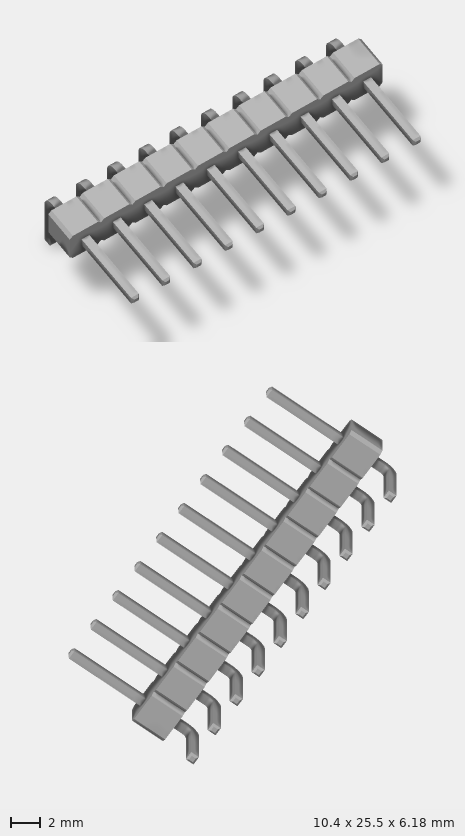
import cadquery as cq


pin_count = 10
pitch = 2.55
strip_width = 2.55
strip_height = 2.55
strip_chamfer = 0.25

pin_size = 0.64
bend_inner_radius = 0.33
bend_outer_radius = bend_inner_radius + pin_size
tip_chamfer = 0.15

mating_length = 6.0
bend_overhang = 1.83
tail_drop = 4.9

pin_left = -strip_width / 2 - bend_overhang
pin_right = strip_width / 2 + mating_length
pin_top = pin_size / 2
pin_bottom = -pin_size / 2


def position_y(index):
    """Y of a pin, with the row centred on the origin."""
    return (index - (pin_count - 1) / 2) * pitch


def make_strip_segment(y):
    """One position of the strip, chamfered along its four X edges."""
    return (
        cq.Workplane("XY")
        .box(strip_width, pitch, strip_height)
        .edges("|X")
        .chamfer(strip_chamfer)
        .translate((0, y, 0))
    )


def make_pin(y):
    """L-shaped square pin with a rounded bend and a tapered tip at each end."""
    pin = (
        cq.Workplane("XZ")
        .moveTo(pin_left, -tail_drop)
        .lineTo(pin_left, pin_top)
        .lineTo(pin_right, pin_top)
        .lineTo(pin_right, pin_bottom)
        .lineTo(pin_left + pin_size, pin_bottom)
        .lineTo(pin_left + pin_size, -tail_drop)
        .close()
        .extrude(pin_size / 2, both=True)
    )
    outer_corner = cq.selectors.NearestToPointSelector((pin_left, 0, pin_top))
    inner_corner = cq.selectors.NearestToPointSelector((pin_left + pin_size, 0, pin_bottom))
    pin = pin.edges("|Y").edges(outer_corner).fillet(bend_outer_radius)
    pin = pin.edges("|Y").edges(inner_corner).fillet(bend_inner_radius)
    pin = pin.faces(">X").chamfer(tip_chamfer)
    pin = pin.faces("<Z").chamfer(tip_chamfer)
    return pin.translate((0, y, 0))


result = make_strip_segment(position_y(0))
for index in range(1, pin_count):
    result = result.union(make_strip_segment(position_y(index)))

for index in range(pin_count):
    result = result.union(make_pin(position_y(index)))

result = result.clean()